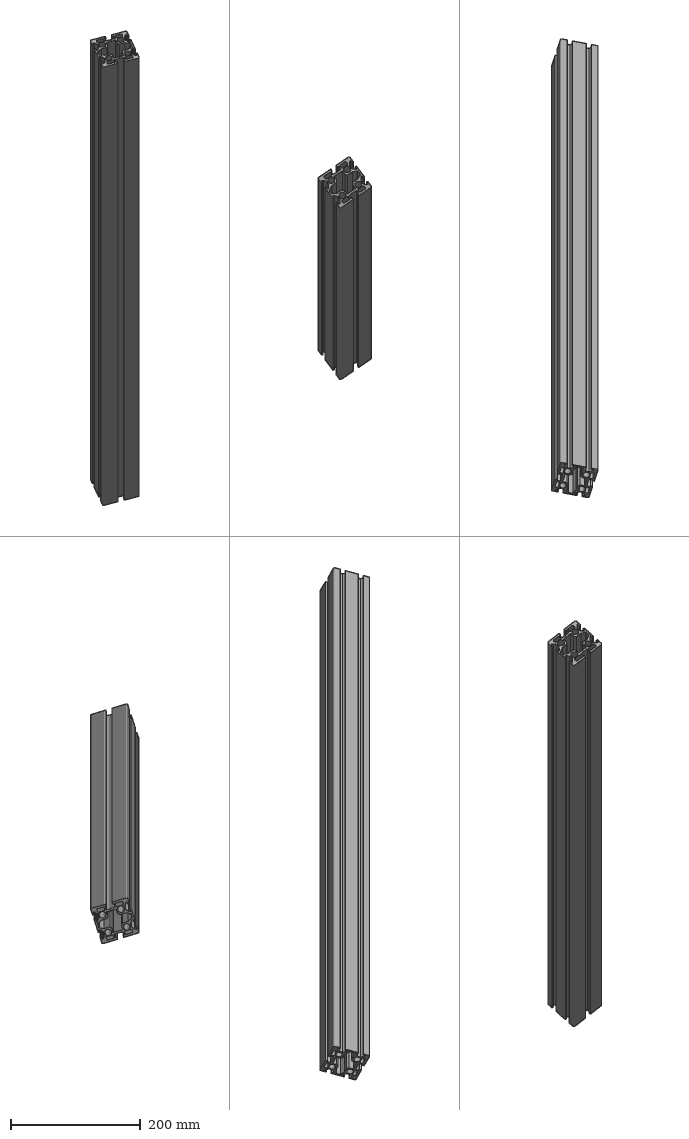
import cadquery as cq

side = 60.0
length = 1000.0
corner_radius = 2.0
half = side / 2

module = side / 2
bore_offset = module / 2

narrow_slot = {
    "mouth": 4.1,
    "bevel_width": 0.2,
    "bevel_depth": 0.4,
    "lip_depth": 2.5,
    "undercut_top": 8.25,
    "undercut_bottom": 7.0,
    "taper_depth": 4.95,
    "floor": 2.3,
    "floor_depth": 8.3,
}

wide_slot = {
    "mouth": 5.0,
    "bevel_width": 2.5,
    "bevel_depth": 0.1,
    "lip_depth": 3.5,
    "undercut_top": 7.25,
    "undercut_bottom": 7.0,
    "taper_depth": 8.75,
    "floor": 2.0,
    "floor_depth": 9.3,
}

bore_radius = 5.2

side_chamber_inner_x = 20.8
side_chamber_outer_x = 26.5
side_chamber_half_height = 5.75
side_chamber_radius = 1.25

cross_half_x = 17.25
cross_arm_half_height = 7.7
cross_bevel_start_x = 10.5
cross_waist_half_x = 7.05
cross_bevel_end_y = 10.25
cross_taper_start_y = 19.5
cross_tip_half_x = 3.7
cross_taper_end_y = 26.0
cross_half_y = 27.0


def prism(points):
    return cq.Workplane("XY").polyline(points).close().extrude(length)


def mirrored_in_x(right_points):
    return right_points + [(-x, y) for x, y in reversed(right_points)]


def t_slot(slot, offset, angle):
    """T-slot cutter made at the +Y side, shifted along X by offset, then turned about Z."""
    right_points = [
        (slot["mouth"] + slot["bevel_width"], half),
        (slot["mouth"], half - slot["bevel_depth"]),
        (slot["mouth"], half - slot["lip_depth"]),
        (slot["undercut_top"], half - slot["lip_depth"]),
        (slot["undercut_bottom"], half - slot["taper_depth"]),
        (slot["floor"], half - slot["floor_depth"]),
    ]
    cutter = prism(mirrored_in_x(right_points)).translate((offset, 0, 0))
    return cutter.rotate((0, 0, 0), (0, 0, 1), angle)


def screw_bores():
    centers = cq.Workplane("XY").rect(module, module, forConstruction=True).vertices()
    return centers.circle(bore_radius).extrude(length)


def side_chambers():
    width = side_chamber_outer_x - side_chamber_inner_x
    spacing = side_chamber_outer_x + side_chamber_inner_x
    return (
        cq.Workplane("XY")
        .rect(spacing, module, forConstruction=True)
        .vertices()
        .rect(width, 2 * side_chamber_half_height)
        .extrude(length)
        .edges("|Z")
        .fillet(side_chamber_radius)
    )


def central_chamber():
    upper_right = [
        (cross_half_x, cross_arm_half_height),
        (cross_bevel_start_x, cross_arm_half_height),
        (cross_waist_half_x, cross_bevel_end_y),
        (cross_waist_half_x, cross_taper_start_y),
        (cross_tip_half_x, cross_taper_end_y),
        (cross_tip_half_x, cross_half_y),
    ]
    lower_right = [(x, -y) for x, y in reversed(upper_right)]
    return prism(mirrored_in_x(lower_right + upper_right))


body = cq.Workplane("XY").rect(side, side).extrude(length).edges("|Z").fillet(corner_radius)

for y_side_angle in (0, 180):
    for slot_offset in (-bore_offset, bore_offset):
        body = body.cut(t_slot(narrow_slot, slot_offset, y_side_angle))
for x_side_angle in (90, 270):
    body = body.cut(t_slot(wide_slot, 0, x_side_angle))

body = body.cut(screw_bores())
body = body.cut(side_chambers())
body = body.cut(central_chamber())

result = body